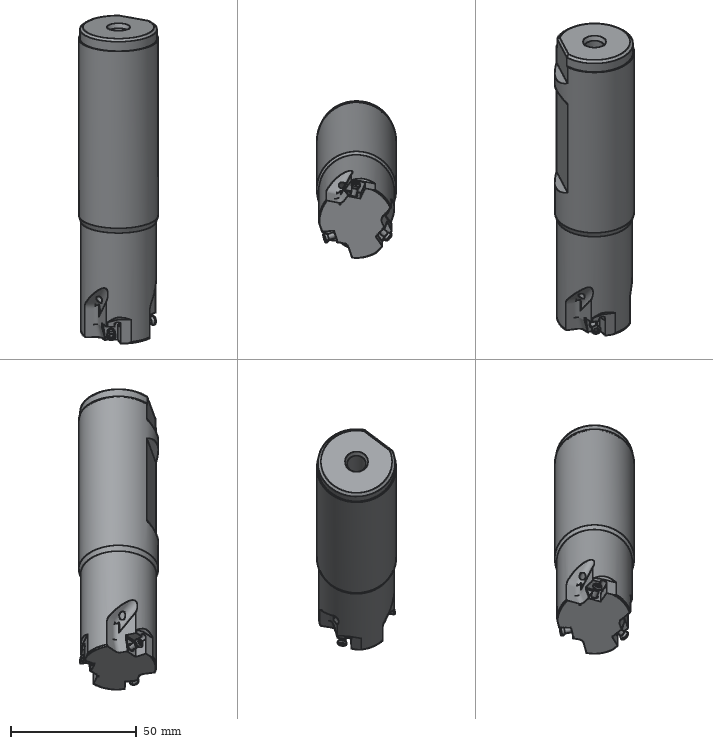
import cadquery as cq
import math

OVERALL_LENGTH = 128.97
PIP_HEIGHT = 0.3
BODY_LENGTH = OVERALL_LENGTH - PIP_HEIGHT
SHANK_RADIUS = 15.875
NECK_RADIUS = 15.1
EDGE_COUNT = 3
FIRST_EDGE_ANGLE = 180.0
OVERCUT = 5.0

END_CHAMFER_WIDTH = 0.35
END_CHAMFER_HEIGHT = 0.7
NECK_LENGTH = 46.9
SHOULDER_MID_RADIUS = 15.5
SHOULDER_MID_Z = 48.1
SHOULDER_TOP_Z = 49.2
COLLAR_RADIUS = 15.4
COLLAR_LENGTH = 4.85
TOP_CHAMFER_WIDTH = 1.2
TOP_CHAMFER_HEIGHT = 0.9

FLAT_Y = 13.45
RIB_TOP_DEPTH = 12.4
RIB_BOTTOM_DEPTH = 22.2
LONG_FLAT_END_DEPTH = 63.2

BORE_RADIUS = 3.75
BORE_MOUTH_RADIUS = 4.6
BORE_MOUTH_DEPTH = 1.8
BORE_BOTTOM_Z = 48.0
BRANCH_RADIUS = 1.25
BRANCH_START_RADIUS = 2.1
BRANCH_START_ANGLE = 90.0
BRANCH_OUTLET = (9.5, -8.05, 16.1)

FLUTE_FLOOR_X = 6.35
FLUTE_CORNER_Y = -8.65
FLUTE_WALL_TILT = 24.0
FLUTE_CORNER_RADIUS = 2.2
RUNOUT_Z = 13.7
RUNOUT_ANGLE = 37.0
RUNOUT_GROOVE_RADIUS = 3.1
RUNOUT_UNDERCUT = 0.5
RUNOUT_BLEND_RADIUS = 4.4
RELIEF_TOP_Z = 5.7
RELIEF_TILT = 14.0

CLEARANCE_X = 14.35
CLEARANCE_INNER_TOP_Z = 9.0
CLEARANCE_OUTER_TOP_Z = 10.0
CLEARANCE_TOP_BEND_Y = -0.8
CLEARANCE_TOP_SLOPE = 60.0

SEAT_X = 9.8
SEAT_TOP_Z = 6.7
SEAT_EDGE_TOP_Y = -6.3
SEAT_EDGE_BOTTOM_Y = -5.4
LEDGE_HEIGHT = 0.4
LEDGE_WIDTH = 0.45
SEAT_WALL_Y = -0.54
SEAT_WALL_TILT = 14.0
CORNER_HOLE_RADIUS = 1.3
CORNER_HOLE_Y = -0.7
CORNER_HOLE_Z = 7.7

SCREW_Y = -3.2
SCREW_Z = 3.25
SCREW_TOP_X = 14.7
SCREW_HEAD_RADIUS = 1.85
SCREW_RIM_HEIGHT = 0.7
SCREW_RIM_ROUND = 0.45
SCREW_CONE_HEIGHT = 1.2
SCREW_SHANK_RADIUS = 1.2
SCREW_END_X = 5.5
SCREW_HOLE_MOUTH_RADIUS = 1.6
SOCKET_RADIUS = 0.85
SOCKET_LOBE_RADIUS = 0.28
SOCKET_LOBES = 6
SOCKET_DEPTH = 0.9

PIP_RADIUS = 0.3
PIP_X = FLUTE_FLOOR_X - PIP_RADIUS
PIP_Y = -7.95
PIP_EDGE_ANGLE = FIRST_EDGE_ANGLE + 360 / EDGE_COUNT


def tan(degrees):
    return math.tan(math.radians(degrees))


def turned_blank():
    profile = [
        (0, 0),
        (NECK_RADIUS - END_CHAMFER_WIDTH, 0),
        (NECK_RADIUS, END_CHAMFER_HEIGHT),
        (NECK_RADIUS, NECK_LENGTH),
        (SHOULDER_MID_RADIUS, SHOULDER_MID_Z),
        (SHANK_RADIUS, SHOULDER_TOP_Z),
        (SHANK_RADIUS, BODY_LENGTH - COLLAR_LENGTH),
        (COLLAR_RADIUS, BODY_LENGTH - COLLAR_LENGTH),
        (COLLAR_RADIUS, BODY_LENGTH - TOP_CHAMFER_HEIGHT),
        (COLLAR_RADIUS - TOP_CHAMFER_WIDTH, BODY_LENGTH),
        (0, BODY_LENGTH),
    ]
    return cq.Workplane("XZ").polyline(profile).close().revolve(360, (0, 0), (0, 1))


def clamping_flats():
    """Two flats with 45 degree ends, leaving a rib between them."""
    flat_depth = SHANK_RADIUS - FLAT_Y
    outer_y = SHANK_RADIUS + OVERCUT
    ramp = flat_depth + OVERCUT
    end_flat = [
        (FLAT_Y, BODY_LENGTH - RIB_TOP_DEPTH),
        (outer_y, BODY_LENGTH - RIB_TOP_DEPTH - ramp),
        (outer_y, BODY_LENGTH + OVERCUT),
        (FLAT_Y - TOP_CHAMFER_HEIGHT, BODY_LENGTH + OVERCUT),
        (FLAT_Y - TOP_CHAMFER_HEIGHT, BODY_LENGTH),
        (FLAT_Y, BODY_LENGTH - TOP_CHAMFER_HEIGHT),
    ]
    long_flat = [
        (FLAT_Y, BODY_LENGTH - RIB_BOTTOM_DEPTH),
        (outer_y, BODY_LENGTH - RIB_BOTTOM_DEPTH + ramp),
        (outer_y, BODY_LENGTH - LONG_FLAT_END_DEPTH - ramp),
        (FLAT_Y, BODY_LENGTH - LONG_FLAT_END_DEPTH),
    ]
    first = cq.Workplane("YZ").polyline(end_flat).close().extrude(SHANK_RADIUS, both=True)
    second = cq.Workplane("YZ").polyline(long_flat).close().extrude(SHANK_RADIUS, both=True)
    return [first, second]


def coolant_bore():
    profile = [
        (0, BORE_BOTTOM_Z),
        (BORE_RADIUS, BORE_BOTTOM_Z),
        (BORE_RADIUS, BODY_LENGTH - BORE_MOUTH_DEPTH),
        (BORE_MOUTH_RADIUS, BODY_LENGTH),
        (0, BODY_LENGTH),
    ]
    return cq.Workplane("XZ").polyline(profile).close().revolve(360, (0, 0), (0, 1))


def coolant_branch():
    """Slanted hole from the floor of the bore to the runout of the flute."""
    angle = math.radians(BRANCH_START_ANGLE - FIRST_EDGE_ANGLE)
    start = cq.Vector(
        BRANCH_START_RADIUS * math.cos(angle), BRANCH_START_RADIUS * math.sin(angle), BORE_BOTTOM_Z
    )
    run = cq.Vector(*BRANCH_OUTLET) - start
    length = run.Length + OVERCUT
    return cq.Workplane(cq.Solid.makeCylinder(BRANCH_RADIUS, length, start, run))


def flute_section(bottom_z, top_z):
    """Prism between the flute floor and its tilted wall, with a sharp corner."""
    outer_x = NECK_RADIUS + OVERCUT
    section = [
        (FLUTE_FLOOR_X, -outer_x),
        (FLUTE_FLOOR_X, FLUTE_CORNER_Y),
        (outer_x, FLUTE_CORNER_Y + (outer_x - FLUTE_FLOOR_X) * tan(FLUTE_WALL_TILT)),
        (outer_x, -outer_x),
    ]
    plane = cq.Workplane("XY").workplane(offset=bottom_z)
    return plane.polyline(section).close().extrude(top_z - bottom_z)


def bent_floor_prism():
    """Space outside the flute floor, which bends smoothly into the runout slope."""
    outer_x = NECK_RADIUS + OVERCUT
    side = [
        (FLUTE_FLOOR_X, -OVERCUT),
        (FLUTE_FLOOR_X, RUNOUT_Z),
        (outer_x, RUNOUT_Z + (outer_x - FLUTE_FLOOR_X) / tan(RUNOUT_ANGLE)),
        (outer_x, -OVERCUT),
    ]
    prism = cq.Workplane("XZ").polyline(side).close().extrude(2 * outer_x, both=True)
    bend = cq.selectors.NearestToPointSelector((FLUTE_FLOOR_X, 0, RUNOUT_Z))
    return prism.edges("|Y").edges(bend).fillet(RUNOUT_BLEND_RADIUS)


def runout_groove():
    """Round groove along the runout, tangent to its slope and undercutting the flute wall."""
    slope = math.radians(RUNOUT_ANGLE)
    tilt = math.radians(FLUTE_WALL_TILT)
    slope_normal = cq.Vector(math.cos(slope), 0, -math.sin(slope))
    wall_normal = cq.Vector(math.sin(tilt), -math.cos(tilt), 0)
    direction = slope_normal.cross(wall_normal).normalized()
    if direction.z < 0:
        direction = -direction
    from_slope = RUNOUT_GROOVE_RADIUS
    from_wall = RUNOUT_GROOVE_RADIUS - RUNOUT_UNDERCUT
    skew = slope_normal.dot(wall_normal)
    slope_part = (from_slope - skew * from_wall) / (1 - skew**2)
    wall_part = (from_wall - skew * from_slope) / (1 - skew**2)
    corner = cq.Vector(FLUTE_FLOOR_X, FLUTE_CORNER_Y, RUNOUT_Z)
    start = corner + slope_normal * slope_part + wall_normal * wall_part
    start = start - direction * OVERCUT
    length = NECK_RADIUS + OVERCUT
    groove = cq.Workplane(cq.Solid.makeCylinder(RUNOUT_GROOVE_RADIUS, length, start, direction))
    corner_depth = FLUTE_CORNER_RADIUS * (1 - math.sin(tilt))
    outside_corner = cq.Workplane("YZ").workplane(offset=FLUTE_FLOOR_X + corner_depth)
    outside_corner = outside_corner.rect(4 * NECK_RADIUS, 4 * NECK_RADIUS).extrude(NECK_RADIUS)
    return groove.intersect(outside_corner)


def runout_wedge():
    """Space above the sloped runout, rounded into the undercut side of the flute."""
    outer_x = NECK_RADIUS + OVERCUT
    floor_drop = RUNOUT_Z + 2 * OVERCUT
    side = [
        (FLUTE_FLOOR_X - floor_drop * tan(RUNOUT_ANGLE), RUNOUT_Z - floor_drop),
        (outer_x, RUNOUT_Z + (outer_x - FLUTE_FLOOR_X) / tan(RUNOUT_ANGLE)),
        (outer_x, RUNOUT_Z - floor_drop),
    ]
    wedge = cq.Workplane("XZ").polyline(side).close().extrude(3 * outer_x, both=True)
    wall_y = FLUTE_CORNER_Y + RUNOUT_UNDERCUT / math.cos(math.radians(FLUTE_WALL_TILT))
    reach = 2 * outer_x
    wall_side = [
        (FLUTE_FLOOR_X - reach, wall_y - reach * tan(FLUTE_WALL_TILT)),
        (FLUTE_FLOOR_X + reach, wall_y + reach * tan(FLUTE_WALL_TILT)),
        (FLUTE_FLOOR_X + reach, -reach),
        (FLUTE_FLOOR_X - reach, -reach),
    ]
    beside_wall = cq.Workplane("XY").polyline(wall_side).close().extrude(reach * 2, both=True)
    corner = cq.selectors.NearestToPointSelector((FLUTE_FLOOR_X, wall_y, RUNOUT_Z))
    return wedge.intersect(beside_wall).edges(corner).fillet(RUNOUT_GROOVE_RADIUS)


def rounded_flute_section(top_z):
    """Flute prism with a rounded corner between floor and wall."""
    section = flute_section(-OVERCUT, top_z)
    corner = cq.selectors.NearestToPointSelector((FLUTE_FLOOR_X, FLUTE_CORNER_Y, 0))
    return section.edges("|Z").edges(corner).fillet(FLUTE_CORNER_RADIUS)


def flute():
    """Chip flute whose floor bends outward and runs out through the neck."""
    cutter = rounded_flute_section(2 * NECK_RADIUS).intersect(bent_floor_prism())
    return cutter.intersect(runout_wedge()).union(runout_groove())


def flute_relief():
    """Tilted continuation of the flute beside the insert seat."""
    relief = rounded_flute_section(RELIEF_TOP_Z)
    pivot = (0, FLUTE_CORNER_Y, RELIEF_TOP_Z)
    return relief.rotate(pivot, (1, FLUTE_CORNER_Y, RELIEF_TOP_Z), RELIEF_TILT)


def clearance_flat():
    """Flat behind the insert, with a sloped upper end."""
    half_width = math.sqrt(NECK_RADIUS**2 - CLEARANCE_X**2)
    outline = [
        (-half_width, -OVERCUT),
        (-half_width, CLEARANCE_INNER_TOP_Z),
        (CLEARANCE_TOP_BEND_Y, CLEARANCE_OUTER_TOP_Z),
        (half_width, CLEARANCE_OUTER_TOP_Z),
        (half_width, -OVERCUT),
    ]
    plane = cq.Workplane("YZ").workplane(offset=CLEARANCE_X)
    return plane.polyline(outline).close().extrude(SHANK_RADIUS - CLEARANCE_X, taper=-CLEARANCE_TOP_SLOPE)


def seat_prism(floor_x, top_z):
    """Space over a seat face, from the flute to the tilted side wall of the insert."""
    outer_x = NECK_RADIUS + OVERCUT
    wall_slope = tan(SEAT_WALL_TILT)
    outline = [
        (floor_x, FLUTE_CORNER_Y),
        (floor_x, SEAT_WALL_Y + (floor_x - SEAT_X) * wall_slope),
        (outer_x, SEAT_WALL_Y + (outer_x - SEAT_X) * wall_slope),
        (outer_x, FLUTE_CORNER_Y),
    ]
    plane = cq.Workplane("XY").workplane(offset=-OVERCUT)
    return plane.polyline(outline).close().extrude(top_z + OVERCUT)


def insert_seat():
    """Seat face sunk below a narrow ledge along its upper and flute edges."""
    edge_slope = (SEAT_EDGE_BOTTOM_Y - SEAT_EDGE_TOP_Y) / SEAT_TOP_Z
    outline = [
        (SEAT_EDGE_TOP_Y, SEAT_TOP_Z),
        (NECK_RADIUS, SEAT_TOP_Z),
        (NECK_RADIUS, -OVERCUT),
        (SEAT_EDGE_BOTTOM_Y + OVERCUT * edge_slope, -OVERCUT),
    ]
    seat_area = cq.Workplane("YZ").polyline(outline).close().extrude(NECK_RADIUS + OVERCUT)
    seat = seat_prism(SEAT_X, SEAT_TOP_Z).intersect(seat_area)
    return seat.union(seat_prism(SEAT_X + LEDGE_HEIGHT, SEAT_TOP_Z + LEDGE_WIDTH))


def seat_corner_hole():
    plane = cq.Workplane("YZ").workplane(offset=SEAT_X).center(CORNER_HOLE_Y, CORNER_HOLE_Z)
    return plane.circle(CORNER_HOLE_RADIUS).extrude(NECK_RADIUS)


def screw_hole():
    """Blind hole that fits the screw shank, countersunk at the seat."""
    mouth_depth = SCREW_HOLE_MOUTH_RADIUS - SCREW_SHANK_RADIUS
    outline = [
        (SCREW_END_X, 0),
        (SCREW_END_X, SCREW_SHANK_RADIUS),
        (SEAT_X - mouth_depth, SCREW_SHANK_RADIUS),
        (SEAT_X, SCREW_HOLE_MOUTH_RADIUS),
        (SEAT_X, 0),
    ]
    hole = cq.Workplane("XY").polyline(outline).close().revolve(360, (0, 0), (1, 0))
    return hole.translate((0, SCREW_Y, SCREW_Z))


def screw_socket():
    """Six-lobed driver recess."""
    plane = cq.Workplane("YZ").workplane(offset=SCREW_TOP_X)
    socket = plane.circle(SOCKET_RADIUS).extrude(-SOCKET_DEPTH)
    lobes = plane.polarArray(SOCKET_RADIUS, 0, 360, SOCKET_LOBES).circle(SOCKET_LOBE_RADIUS)
    return socket.union(lobes.extrude(-SOCKET_DEPTH))


def clamp_screw():
    """Insert screw with a countersunk head standing clear of the seat."""
    rim_bottom_x = SCREW_TOP_X - SCREW_RIM_HEIGHT
    outline = [
        (SCREW_END_X, 0),
        (SCREW_END_X, SCREW_SHANK_RADIUS),
        (rim_bottom_x - SCREW_CONE_HEIGHT, SCREW_SHANK_RADIUS),
        (rim_bottom_x, SCREW_HEAD_RADIUS),
        (SCREW_TOP_X, SCREW_HEAD_RADIUS),
        (SCREW_TOP_X, 0),
    ]
    screw = cq.Workplane("XY").polyline(outline).close().revolve(360, (0, 0), (1, 0))
    screw = screw.faces(">X").edges().fillet(SCREW_RIM_ROUND)
    return screw.cut(screw_socket()).translate((0, SCREW_Y, SCREW_Z))


def end_pip():
    """Small cone below the end face."""
    base = cq.Vector(PIP_X, PIP_Y, 0)
    cone = cq.Solid.makeCone(PIP_RADIUS, 0, PIP_HEIGHT, base, cq.Vector(0, 0, -1))
    return cq.Workplane(cone).rotate((0, 0, 0), (0, 0, 1), PIP_EDGE_ANGLE)


def at_each_edge(shape):
    """Copies of a shape turned to every cutting edge."""
    pitch = 360 / EDGE_COUNT
    return [shape.rotate((0, 0, 0), (0, 0, 1), FIRST_EDGE_ANGLE + i * pitch) for i in range(EDGE_COUNT)]


body = turned_blank().cut(coolant_bore())
for flat in clamping_flats():
    body = body.cut(flat)
edge_features = [
    flute(),
    flute_relief(),
    clearance_flat(),
    insert_seat(),
    seat_corner_hole(),
    screw_hole(),
    coolant_branch(),
]
for feature in edge_features:
    for cutter in at_each_edge(feature):
        body = body.cut(cutter)
body = body.union(end_pip())

screws = at_each_edge(clamp_screw())

result = cq.Compound.makeCompound([body.solids().val(), *[screw.val() for screw in screws]])